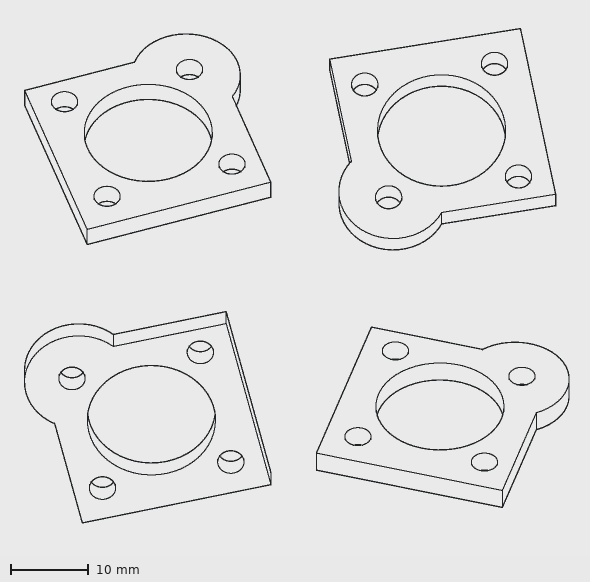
import cadquery as cq

plate_side = 25.0
thickness = 3.0

lobe_radius = 7.0
lobe_overhang_x = 2.78
lobe_overhang_y = 2.53
lobe_x = -plate_side / 2 - lobe_overhang_x + lobe_radius
lobe_y = plate_side / 2 + lobe_overhang_y - lobe_radius

bore_x = -0.53
bore_y = 0.25
bore_diameter = 16.5
screw_spacing = 17.0
screw_diameter = 3.4

plate = cq.Workplane("XY").rect(plate_side, plate_side).extrude(thickness)
lobe = cq.Workplane("XY").center(lobe_x, lobe_y).circle(lobe_radius).extrude(thickness)

bore = cq.Workplane("XY").center(bore_x, bore_y).circle(bore_diameter / 2).extrude(thickness)
screw_holes = (
    cq.Workplane("XY")
    .center(bore_x, bore_y)
    .rect(screw_spacing, screw_spacing, forConstruction=True)
    .vertices()
    .circle(screw_diameter / 2)
    .extrude(thickness)
)

result = plate.union(lobe).cut(bore).cut(screw_holes)